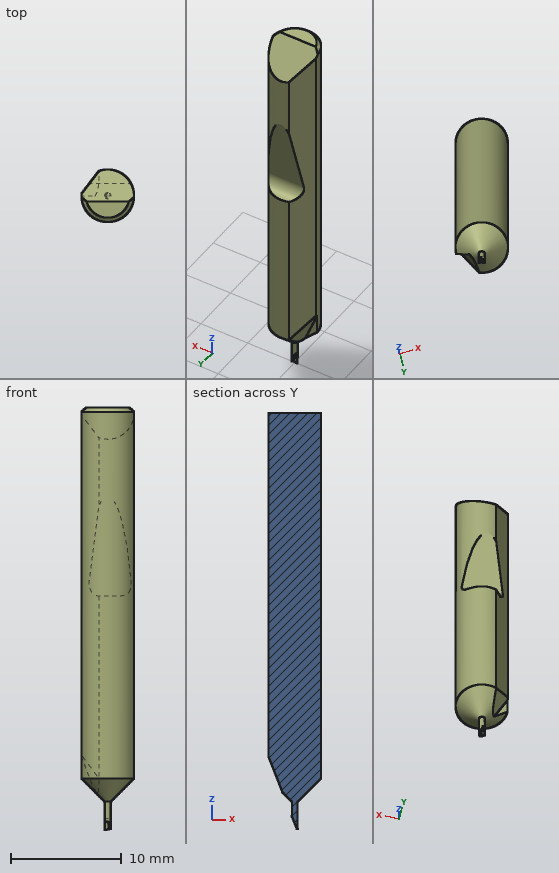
import cadquery as cq
import math

shank_radius = 4.76 / 2
total_length = 38.1
end_chamfer = 0.4

cone_base_z = 4.67
neck_radius = 0.28
cone_tip_z = cone_base_z - (shank_radius - neck_radius)

bevel_start_y = -0.5

flat_distance = 2.0
flat_angle = 142.5

notch_top_z = total_length - 8.05
notch_bottom_z = total_length - 17.0
notch_slope = math.radians(9.5)
notch_corner_radius = 1.15

facet_depth_z = 3.42
facet_rise = 2.1

rake_height = 1.05
rake_distance = 0.16
relief_height = 0.72
relief_distance = 0.18
relief_angle = 230
end_relief_rise = 0.12

margin = 1.0
reach = shank_radius + margin


def point_on_flat_edge(side):
    """X and Y of a long edge of the flat; side is -1 or +1 along the angular direction."""
    half_angle = math.acos(flat_distance / shank_radius)
    angle = math.radians(flat_angle) + side * half_angle
    return shank_radius * math.cos(angle), shank_radius * math.sin(angle)


def shank_with_neck():
    """Chamfered shank, cone and neck as one revolved profile."""
    profile = (
        cq.Workplane("XZ")
        .moveTo(0, 0)
        .lineTo(neck_radius, 0)
        .lineTo(neck_radius, cone_tip_z)
        .lineTo(shank_radius, cone_base_z)
        .lineTo(shank_radius, total_length - end_chamfer)
        .lineTo(shank_radius - end_chamfer, total_length)
        .lineTo(0, total_length)
        .close()
    )
    return profile.revolve(360, (0, 0, 0), (0, 1, 0))


def prism_along_x(points):
    """Extrude a polygon of (Y, Z) points across the whole shank."""
    return cq.Workplane("YZ").polyline(points).close().extrude(reach, both=True)


def side_cutter(distance, angle, bottom_z, height):
    """Upright block whose inner face lies at a distance from the axis, facing the angle."""
    block = cq.Workplane("XY").box(reach, 2 * reach, height, centered=(False, True, False))
    return block.translate((distance, 0, bottom_z)).rotate((0, 0, 0), (0, 0, 1), angle)


def half_space_block(side, height):
    """Block filling the +Y (side = 1) or -Y (side = -1) half around the cutting end."""
    block = cq.Workplane("XY").box(2 * reach, reach, height, centered=(True, True, False))
    return block.translate((0, side * reach / 2, 0))


def end_bevel():
    start_z = total_length + margin
    return prism_along_x([
        (bevel_start_y - margin, start_z),
        (reach, start_z),
        (reach, total_length - (reach - bevel_start_y)),
    ])


def long_flat():
    return side_cutter(flat_distance, flat_angle, 0, total_length)


def clamping_notch():
    slope = math.tan(notch_slope)
    corner_y = shank_radius - (notch_top_z - notch_bottom_z) * slope
    notch = prism_along_x([
        (reach, notch_bottom_z),
        (corner_y, notch_bottom_z),
        (reach, notch_top_z + margin / slope),
    ])
    corner = cq.selectors.NearestToPointSelector((0, corner_y, notch_bottom_z))
    return notch.edges(corner).fillet(notch_corner_radius)


def cone_facet():
    """Cut outside the plane through both edges of the flat and a point low on the cone."""
    upper = cq.Vector(*point_on_flat_edge(1), cone_base_z + facet_rise)
    outer = cq.Vector(*point_on_flat_edge(-1), cone_base_z)
    cone_radius = neck_radius + facet_depth_z - cone_tip_z
    lower = cq.Vector(-cone_radius, 0, facet_depth_z)
    normal = (outer - upper).cross(lower - upper)
    plane = cq.Plane(origin=upper, xDir=outer - upper, normal=normal)
    size = 4 * reach
    outside = cq.Workplane(plane).rect(size, size).extrude(reach)
    return outside.intersect(half_space_block(1, cone_base_z + facet_rise + margin))


def tooth_rake():
    cutter = side_cutter(rake_distance, flat_angle, 0, rake_height)
    return cutter.intersect(half_space_block(1, rake_height))


def tooth_relief():
    cutter = side_cutter(relief_distance, relief_angle, 0, relief_height)
    return cutter.intersect(half_space_block(-1, relief_height))


def end_relief():
    """Wedge under the tip that leaves the -X point of the tooth lowest."""
    wedge = cq.Workplane("XZ").polyline([
        (-neck_radius, 0),
        (neck_radius, 0),
        (neck_radius, end_relief_rise),
    ])
    return wedge.close().extrude(neck_radius, both=True)


result = shank_with_neck()
for cutter in (
    end_bevel(),
    long_flat(),
    clamping_notch(),
    cone_facet(),
    tooth_rake(),
    tooth_relief(),
    end_relief(),
):
    result = result.cut(cutter)